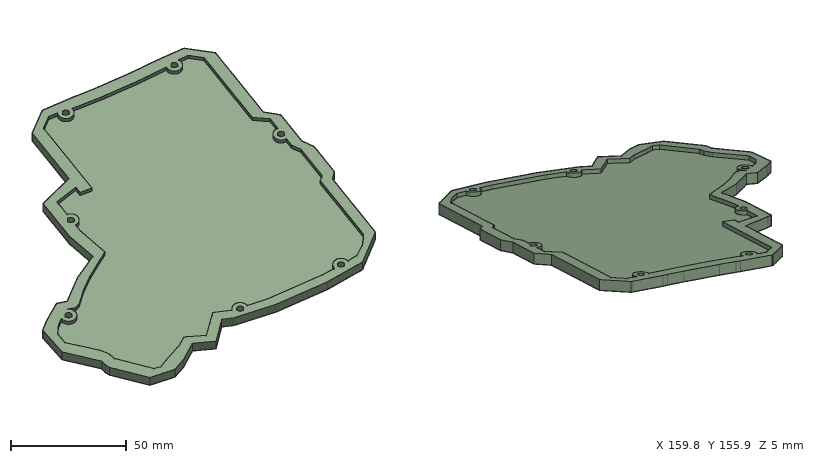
import cadquery as cq


overall_height = 5.0
floor_thickness = 3.0
pocket_depth = overall_height - floor_thickness

hole_diameter = 3.0
boss_diameter = 7.2

length = 159.8
width = 155.9
left_wing_top = 147.4
left_wing_bottom = 55.1
corner_cut = 9.3
shoulder_top = 153.0
right_side = 149.5
step_bottom = 38.0
rim_width = 5.8

outer_corners = [
    (0.2, 137.2),
    (corner_cut, left_wing_top),
    (49.7, left_wing_top),
    (55.0, shoulder_top),
    (72.7, shoulder_top),
    (78.3, width),
    (95.5, width),
    (98.6, shoulder_top),
    (134.9, shoulder_top),
    (147.2, 139.2),
    (right_side, 120.2),
    (right_side, 94.3),
    (146.9, 74.6),
    (145.0, 69.7),
    (154.7, 61.0),
    (150.5, 51.6),
    (156.8, 43.5),
    (length, 37.2),
    (158.4, 25.5),
    (144.3, 13.6),
    (142.3, 12.8),
    (139.5, 12.6),
    (126.1, 0.6),
    (112.0, 0),
    (110.8, 0),
    (106.6, 4.6),
    (100.4, 13.1),
    (101.7, 17.7),
    (92.0, 28.6),
    (84.7, 40.8),
    (69.4, step_bottom),
    (47.2, step_bottom),
    (46.2, 40.3),
    (40.3, left_wing_bottom),
    (corner_cut, left_wing_bottom),
    (0.2, 65.5),
    (0, 66.0),
    (0.2, 81.8),
    (0.3, 84.1),
    (0.6, 92.2),
    (0.6, 110.0),
    (0.3, 118.6),
    (0.2, 120.8),
    (0, 136.2),
]

pocket_left = 4.6
pocket_bottom = 4.5
pocket_shoulder_top = 147.9
pocket_corners = [
    (pocket_left, 136.5),
    (corner_cut, left_wing_top - rim_width),
    (50.0, left_wing_top - rim_width),
    (54.7, pocket_shoulder_top),
    (72.7, pocket_shoulder_top),
    (76.7, width - rim_width),
    (94.8, width - rim_width),
    (96.9, pocket_shoulder_top),
    (133.6, pocket_shoulder_top),
    (138.6, 144.2),
    (142.6, 139.2),
    (143.5, 133.8),
    (144.8, 120.5),
    (144.8, 93.0),
    (143.5, 82.5),
    (142.6, 76.1),
    (139.5, 68.4),
    (149.6, 59.1),
    (145.5, 50.4),
    (148.7, 46.2),
    (153.0, 37.2),
    (155.4, 33.0),
    (154.7, 29.7),
    (140.8, 18.0),
    (137.6, 17.6),
    (134.0, 15.5),
    (122.0, pocket_bottom),
    (115.9, pocket_bottom),
    (111.7, 7.4),
    (110.0, 9.5),
    (105.7, 15.5),
    (106.8, 18.9),
    (105.7, 21.4),
    (99.7, 27.0),
    (93.8, 34.0),
    (85.2, 46.5),
    (69.4, step_bottom + rim_width),
    (49.4, step_bottom + rim_width),
    (46.2, left_wing_bottom),
    (49.7, left_wing_bottom),
    (50.2, left_wing_bottom + rim_width),
    (corner_cut, left_wing_bottom + rim_width),
    (pocket_left, 66.2),
    (pocket_left, 69.2),
    (5.8, 78.2),
    (6.4, 92.2),
    (6.4, 109.7),
    (5.8, 124.5),
    (pocket_left, 132.4),
]

screw_left = 6.4
screw_right = 143.7
screw_places = [
    (screw_left, 128.4),
    (64.7, 147.4),
    (screw_right, 130.5),
    (screw_right, 79.8),
    (screw_left, 73.9),
    (61.5, 43.5),
    (109.0, 14.0),
]


def prism(corners, bottom, height):
    """Straight-sided solid over a closed outline."""
    return cq.Workplane("XY").workplane(offset=bottom).polyline(corners).close().extrude(height)


def screw_cylinders(diameter):
    """Full-height cylinders at every screw place."""
    return cq.Workplane("XY").pushPoints(screw_places).circle(diameter / 2).extrude(overall_height)


plate = prism(outer_corners, 0, overall_height)
pocket = prism(pocket_corners, floor_thickness, pocket_depth)

tray = plate.cut(pocket)
tray = tray.union(screw_cylinders(boss_diameter))
result = tray.cut(screw_cylinders(hole_diameter))